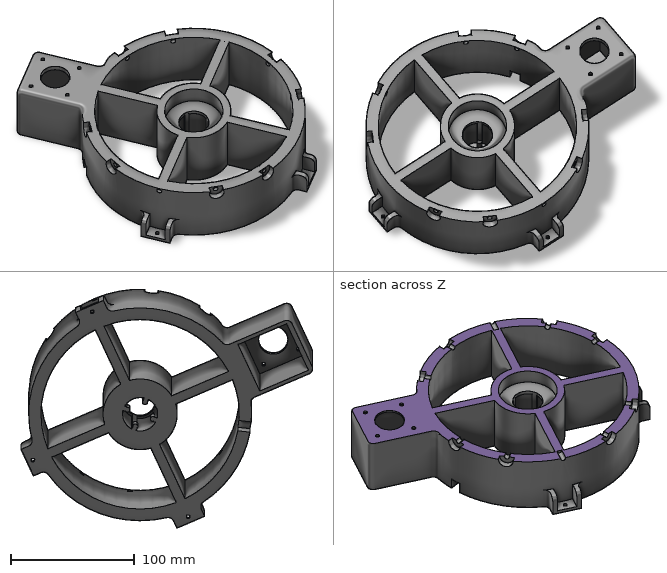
import cadquery as cq
import math

overall_length = 243.4
height = 50.9
overcut = 2.5

ring_outer_radius = 90.0
ring_inner_radius = 80.0
wall_middle_radius = (ring_outer_radius + ring_inner_radius) / 2
wall_cut_start = ring_inner_radius - overcut
wall_cut_end = ring_outer_radius + overcut
spoke_width = 7.8
hub_radius = 30.0

seat_diameter = 47.0
seat_depth = 14.0
shaft_diameter = 24.3
lip_thickness = 3.0
relief_diameter = 28.2
relief_rib_width = 4.0
pin_diameter = 4.1
pin_offset = 7.8
pin_height = 7.3

lug_reach = 100.0
lug_width = 24.5
lug_height = 17.8
lug_gap = 16.3
lug_floor = 3.0
lug_rounding = 5.0
lug_foot_radius = 4.9
lug_hole_diameter = 3.0
lug_hole_radius = 95.0
lug_angles = (-90, 0, 90)

arm_end = overall_length - lug_reach
arm_width = 49.2
arm_rounding = 4.9
neck_radius = 4.9
motor_x = -117.8
motor_hole_diameter = 23.5
motor_screw_diameter = 3.0
motor_screw_spacing = 31.0
motor_plate = 4.1
motor_pocket = 43.0

recess_angles = (30, 60, 120, 150, 210, 240, 300, 330)
recess_diameter = 12.0
recess_depth = 4.9
rim_screw_diameter = 4.0
rim_screw_z = height - 3.0

slot_angle = 211
slot_width = 8.8
slot_height = 9.5

half_arm = arm_width / 2
neck_centre_y = half_arm + neck_radius
neck_centre_x = -math.sqrt((ring_outer_radius + neck_radius) ** 2 - neck_centre_y**2)


def cylinder(diameter, length, x=0, y=0, z=0):
    return cq.Workplane("XY", origin=(x, y, z)).circle(diameter / 2).extrude(length)


def block(x_min, x_max, width, z_min, z_max):
    """Box centred on the X axis in plan."""
    size_x = x_max - x_min
    size_z = z_max - z_min
    return cq.Workplane("XY", origin=((x_min + x_max) / 2, 0, z_min)).box(
        size_x, width, size_z, centered=(True, True, False)
    )


def square_corners(half_side):
    """Corner points of a square centred on the origin."""
    return [(x, y) for x in (-half_side, half_side) for y in (-half_side, half_side)]


def radial_cylinder(diameter, start_radius, end_radius, z, angle):
    """Cylinder lying along a radius of the ring at the given angle."""
    along_x = cq.Workplane("YZ", origin=(start_radius, 0, z)).circle(diameter / 2)
    return along_x.extrude(end_radius - start_radius).rotate((0, 0, 0), (0, 0, 1), angle)


def turn(solid, angle):
    return solid.rotate((0, 0, 0), (0, 0, 1), angle)


def make_wheel():
    """Ring, crossed spokes and solid hub."""
    wheel = cylinder(2 * ring_outer_radius, height).cut(cylinder(2 * ring_inner_radius, height))
    spoke = block(-wall_middle_radius, wall_middle_radius, spoke_width, 0, height)
    return wheel.union(spoke).union(turn(spoke, 90)).union(cylinder(2 * hub_radius, height))


def hub_cutter():
    """Bearing seat, shaft hole and ribbed relief, leaving four pins standing at the foot."""
    floor_z = height - seat_depth
    relief_top = floor_z - lip_thickness
    relief = cylinder(relief_diameter, relief_top)
    for angle in (45, 135):
        rib = block(-relief_diameter, relief_diameter, relief_rib_width, 0, relief_top)
        relief = relief.cut(turn(rib, angle))
    seat = cylinder(seat_diameter, seat_depth, z=floor_z)
    cutter = cylinder(shaft_diameter, height).union(relief).union(seat)
    for x, y in square_corners(pin_offset):
        cutter = cutter.cut(cylinder(pin_diameter, pin_height, x, y))
    return cutter


def make_arm():
    """Arm block with rounded top edges and rounded upright corners at its free end."""
    arm = block(-arm_end, neck_centre_x, arm_width, 0, height)
    arm = arm.edges("<X and |Z").fillet(arm_rounding)
    arm = arm.faces(">Z").edges("<X or <Y or >Y").fillet(arm_rounding)
    return arm


def make_neck():
    """Full-height web whose concave sides run tangent from the arm into the ring."""
    tangent_scale = ring_outer_radius / (ring_outer_radius + neck_radius)
    tangent_x = neck_centre_x * tangent_scale
    tangent_y = neck_centre_y * tangent_scale
    arm_direction = -math.pi / 2
    ring_direction = math.atan2(tangent_y - neck_centre_y, tangent_x - neck_centre_x)
    mid_angle = (arm_direction + ring_direction) / 2
    mid_x = neck_centre_x + neck_radius * math.cos(mid_angle)
    mid_y = neck_centre_y + neck_radius * math.sin(mid_angle)
    return (
        cq.Workplane("XY")
        .moveTo(neck_centre_x, half_arm)
        .threePointArc((mid_x, mid_y), (tangent_x, tangent_y))
        .lineTo(tangent_x, -tangent_y)
        .threePointArc((mid_x, -mid_y), (neck_centre_x, -half_arm))
        .close()
        .extrude(height)
    )


def neck_edge_cutter(side):
    """Ring-shaped cutter that carries the arm's top rounding around the neck blend."""
    outer = neck_radius + arm_rounding
    arc_shift = arm_rounding * math.sqrt(0.5)
    base_z = height - arm_rounding
    profile = (
        cq.Workplane("XZ")
        .moveTo(0, base_z)
        .lineTo(neck_radius, base_z)
        .threePointArc((outer - arc_shift, base_z + arc_shift), (outer, height))
        .lineTo(0, height)
        .close()
    )
    cutter = profile.revolve(360, (0, 0, 0), (0, 1, 0))
    return cutter.translate((neck_centre_x, side * neck_centre_y, 0))


def motor_cutter():
    """Pocket open at the bottom of the arm, with the motor and screw holes through its top."""
    half_pocket = motor_pocket / 2
    plate_bottom = height - motor_plate
    cutter = block(motor_x - half_pocket, motor_x + half_pocket, motor_pocket, 0, plate_bottom)
    cutter = cutter.union(cylinder(motor_hole_diameter, height, motor_x))
    for x, y in square_corners(motor_screw_spacing / 2):
        cutter = cutter.union(cylinder(motor_screw_diameter, height, motor_x + x, y))
    return cutter


def lug_foot(side):
    """Concave blend between one lug side and the ring, lug pointing along +X."""
    centre_y = lug_width / 2 + lug_foot_radius
    centre_x = math.sqrt((ring_outer_radius + lug_foot_radius) ** 2 - centre_y**2)
    tangent_scale = ring_outer_radius / (ring_outer_radius + lug_foot_radius)
    tangent = (centre_x * tangent_scale, centre_y * tangent_scale)
    web = (
        cq.Workplane("XY")
        .moveTo(wall_middle_radius, lug_gap / 2)
        .lineTo(centre_x, lug_gap / 2)
        .lineTo(centre_x, centre_y)
        .lineTo(*tangent)
        .close()
        .extrude(lug_height)
    )
    web = web.cut(cylinder(2 * lug_foot_radius, lug_height, centre_x, centre_y))
    return web if side > 0 else web.mirror("XZ")


def make_lug():
    """U-shaped lug pointing along +X, with a screw hole through its floor."""
    lug = block(wall_middle_radius, lug_reach, lug_width, 0, lug_height)
    lug = lug.edges(">X and >Z").fillet(lug_rounding)
    lug = lug.union(lug_foot(1)).union(lug_foot(-1))
    channel = block(0, lug_reach, lug_gap, lug_floor, lug_height)
    channel = channel.cut(cylinder(2 * ring_outer_radius, lug_height))
    screw = cylinder(lug_hole_diameter, lug_floor, lug_hole_radius)
    return lug.cut(channel).cut(screw)


def rim_screw(angle, start_radius):
    return radial_cylinder(rim_screw_diameter, start_radius, wall_cut_end, rim_screw_z, angle)


def rim_recess(angle):
    """Round head recess, open at the rim, with a screw hole on through the ring."""
    floor_radius = ring_outer_radius - recess_depth
    head = radial_cylinder(recess_diameter, floor_radius, wall_cut_end, rim_screw_z, angle)
    return head.union(rim_screw(angle, wall_cut_start))


body = make_wheel().union(make_arm()).union(make_neck())
for side in (-1, 1):
    body = body.cut(neck_edge_cutter(side))
for angle in lug_angles:
    body = body.union(turn(make_lug(), angle))

body = body.cut(hub_cutter()).cut(motor_cutter())
for angle in recess_angles:
    body = body.cut(rim_recess(angle))
for angle in lug_angles:
    body = body.cut(rim_screw(angle, ring_inner_radius))

cable_slot = block(wall_cut_start, wall_cut_end, slot_width, 0, slot_height)
result = body.cut(turn(cable_slot, slot_angle))